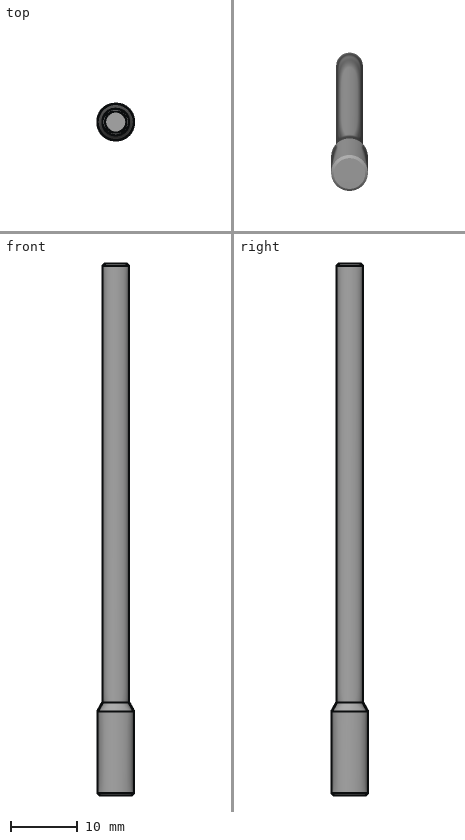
import cadquery as cq

total_length = 80.0

rod_diameter = 4.0
rod_tip_chamfer = 0.4

base_diameter = 5.5
base_length = 14.0
base_taper_length = 1.4
base_foot_chamfer = 0.4


def make_rod():
    """Round rod standing on the base, with a chamfered tip."""
    rod_length = total_length - base_length
    rod = cq.Workplane("XY", origin=(0, 0, base_length)).circle(rod_diameter / 2).extrude(rod_length)
    return rod.faces(">Z").chamfer(rod_tip_chamfer)


def make_base():
    """Thicker round base, chamfered at the foot and tapering to the rod diameter at the top."""
    base_radius = base_diameter / 2
    half_profile = [
        (0, 0),
        (base_radius - base_foot_chamfer, 0),
        (base_radius, base_foot_chamfer),
        (base_radius, base_length - base_taper_length),
        (rod_diameter / 2, base_length),
        (0, base_length),
    ]
    return cq.Workplane("XZ").polyline(half_profile).close().revolve(360, (0, 0, 0), (0, 1, 0))


rod = make_rod()
base = make_base()

result = cq.Compound.makeCompound([rod.val(), base.val()])